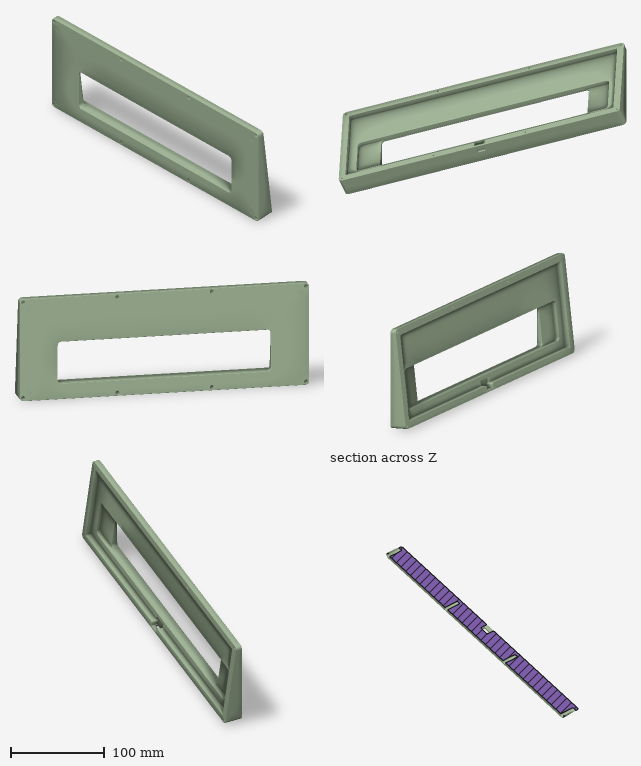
import cadquery as cq
import math

TILT = math.radians(7.0)
WIDTH = 319.75
SLOPE_LENGTH = 110.2
BASE_DEPTH = 20.38
CORNER_RADIUS = 4.0
FRONT_CHAMFER = 0.3

WALL = 7.5
POCKET_DEPTH = 6.3
POCKET_RADIUS = 1.0

WINDOW_WIDTH = 236.0
WINDOW_BOTTOM = 17.0
WINDOW_TOP = 61.9
WINDOW_RADIUS = 4.0
RECESS_WIDTH = 286.0
RECESS_DEPTH = 4.75
RECESS_RADIUS = 4.0

SCREW_INSET = 3.5
SCREWS_PER_ROW = 4
SCREW_DIAMETER = 2.0
SCREW_HEAD_DIAMETER = 4.25
SCREW_GRIP = 4.0

FOOT_DIAMETER = 8.0
FOOT_DEPTH = 0.25
FOOT_INSET = 9.0
FOOT_EDGE_GAP = 9.3

NOTCH_WIDTH = 11.5
NOTCH_FLARE = 1.75
NOTCH_END = 13.0
NOTCH_DEPTH = 8.25
PORT_SKIN = 2.0
PORT_WIDTH = 9.0
PORT_HEIGHT = 3.75

OVERCUT = 1.0
FULL_DEPTH = BASE_DEPTH / math.cos(TILT)
BACK_EDGE_RISE = BASE_DEPTH * math.tan(TILT)
FRONT_HEIGHT = SLOPE_LENGTH / math.cos(TILT)
POCKET_WIDTH = WIDTH - 2 * WALL

BACK_PLANE = cq.Plane(
    origin=(0, BASE_DEPTH, BACK_EDGE_RISE),
    xDir=(-1, 0, 0),
    normal=(0, math.cos(TILT), math.sin(TILT)),
)


def block(width, bottom, top, near, far, radius):
    """Block centred in X, from depth `near` to depth `far` below the back face, with rounded corners."""
    return (
        cq.Workplane(BACK_PLANE)
        .workplane(offset=-far)
        .center(0, (bottom + top) / 2)
        .rect(width, top - bottom)
        .extrude(far - near)
        .edges(cq.selectors.ParallelDirSelector(BACK_PLANE.zDir))
        .fillet(radius)
    )


def wedge_body():
    """Slab square to the back face, cut off flat by the front face at Y = 0."""
    slab = block(WIDTH, 0, SLOPE_LENGTH, 0, 2 * FULL_DEPTH, CORNER_RADIUS)
    behind_front = cq.Workplane("XY").box(
        2 * WIDTH, 2 * BASE_DEPTH, 4 * SLOPE_LENGTH, centered=(True, False, True)
    )
    return slab.intersect(behind_front)


def pocket():
    return block(POCKET_WIDTH, WALL, SLOPE_LENGTH - WALL, -OVERCUT, POCKET_DEPTH, POCKET_RADIUS)


def recess():
    """Wider step in the pocket floor, level with the window at bottom and top."""
    return block(
        RECESS_WIDTH, WINDOW_BOTTOM, WINDOW_TOP, 0, POCKET_DEPTH + RECESS_DEPTH, RECESS_RADIUS
    )


def window():
    return block(WINDOW_WIDTH, WINDOW_BOTTOM, WINDOW_TOP, 0, 2 * FULL_DEPTH, WINDOW_RADIUS)


def screw_holes():
    """Through holes along both long edges, with head bores open to the front face."""
    pitch = (WIDTH - 2 * SCREW_INSET) / (SCREWS_PER_ROW - 1)
    first = SCREW_INSET - WIDTH / 2
    points = [
        (first + i * pitch, row)
        for i in range(SCREWS_PER_ROW)
        for row in (SCREW_INSET, SLOPE_LENGTH - SCREW_INSET)
    ]
    shanks = (
        cq.Workplane(BACK_PLANE)
        .workplane(offset=OVERCUT)
        .pushPoints(points)
        .circle(SCREW_DIAMETER / 2)
        .extrude(-2 * FULL_DEPTH)
    )
    heads = (
        cq.Workplane(BACK_PLANE)
        .workplane(offset=-SCREW_GRIP)
        .pushPoints(points)
        .circle(SCREW_HEAD_DIAMETER / 2)
        .extrude(-2 * FULL_DEPTH)
    )
    return shanks.union(heads)


def foot_recesses():
    foot_x = WIDTH / 2 - FOOT_INSET
    points = [
        (side * foot_x, z)
        for side in (-1, 1)
        for z in (FOOT_EDGE_GAP, FRONT_HEIGHT - FOOT_EDGE_GAP)
    ]
    return (
        cq.Workplane("XZ")
        .pushPoints(points)
        .circle(FOOT_DIAMETER / 2)
        .extrude(-FOOT_DEPTH)
    )


def port_notch():
    """Notch in the lower wall that flares to the pocket and runs on into the pocket floor."""
    half = NOTCH_WIDTH / 2
    flare = NOTCH_FLARE
    return (
        cq.Workplane(BACK_PLANE)
        .workplane(offset=OVERCUT)
        .moveTo(-half, PORT_SKIN)
        .lineTo(half, PORT_SKIN)
        .lineTo(half, WALL - flare)
        .radiusArc((half + flare, WALL), flare)
        .lineTo(half + flare, NOTCH_END)
        .lineTo(-half - flare, NOTCH_END)
        .lineTo(-half - flare, WALL)
        .radiusArc((-half, WALL - flare), flare)
        .close()
        .extrude(-NOTCH_DEPTH - OVERCUT)
    )


def port_opening():
    """Rectangular hole through the thin wall left outside the notch, on the notch floor."""
    middle = NOTCH_DEPTH - PORT_HEIGHT / 2
    return (
        cq.Workplane(BACK_PLANE)
        .workplane(offset=-middle)
        .center(0, PORT_SKIN / 2)
        .box(PORT_WIDTH, PORT_SKIN + 2 * OVERCUT, PORT_HEIGHT)
    )


result = wedge_body().cut(pocket()).cut(recess()).cut(window())
result = result.faces("<Y").edges().chamfer(FRONT_CHAMFER)
for cutter in (screw_holes(), foot_recesses(), port_notch(), port_opening()):
    result = result.cut(cutter)